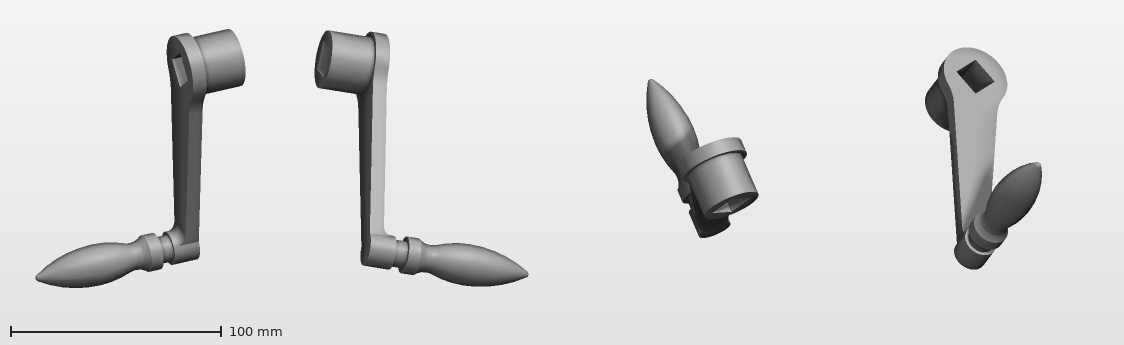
import cadquery as cq
import math

overall_height = 126.5
crank_length = 100.0
head_diameter = 33.0
head_radius = head_diameter / 2
arm_thickness = 7.0
arm_half_width_top = 12.4
arm_half_width_bottom = 6.3
head_blend_radius = 21.5

hub_radius = 13.9
hub_length = 21.0
socket_side = 14.0

boss_radius = 8.1
boss_length = 12.9
boss_blend_radius = 4.0

pin_radius = 6.5
collar_radius = 8.9
collar_start = 19.0
collar_end = 25.0
neck_radius = 6.6
neck_start = 31.1
grip_start = 33.9
grip_start_radius = 7.0
grip_radius = overall_height - crank_length - head_radius
grip_widest = 50.3
handle_length = 81.0
nose_height = 0.9
grip_end = handle_length - nose_height
tip_radius = 1.5


def cylinder(radius, length, z=0):
    """Cylinder running forward (-Y) from the arm's back face."""
    return cq.Workplane("XZ").center(0, z).circle(radius).extrude(length)


def make_bar(length):
    """Tapered bar from the head axis to the handle axis."""
    return (
        cq.Workplane("XZ")
        .moveTo(-arm_half_width_top, 0)
        .lineTo(arm_half_width_top, 0)
        .lineTo(arm_half_width_bottom, -crank_length)
        .lineTo(-arm_half_width_bottom, -crank_length)
        .close()
        .extrude(length)
    )


def make_arm():
    """Tapered bar blended into the round head."""
    arm = make_bar(arm_thickness).union(cylinder(head_radius, arm_thickness))
    head_corners = cq.selectors.BoxSelector(
        (-head_radius, -arm_thickness, -head_radius),
        (head_radius, 0, 0),
    )
    return arm.edges("|Y").edges(head_corners).fillet(head_blend_radius)


def make_boss_blend():
    """Concave ring between arm face and boss, trimmed to the arm's sides."""
    blend_end = arm_thickness + boss_blend_radius
    outer_radius = boss_radius + boss_blend_radius
    middle = boss_blend_radius * (1 - 0.5**0.5)
    ring = (
        cq.Workplane("XY")
        .moveTo(0, -arm_thickness)
        .lineTo(outer_radius, -arm_thickness)
        .threePointArc(
            (boss_radius + middle, -arm_thickness - middle),
            (boss_radius, -blend_end),
        )
        .lineTo(0, -blend_end)
        .close()
        .revolve(360, (0, 0, 0), (0, 1, 0))
        .translate((0, 0, -crank_length))
    )
    return ring.intersect(make_bar(boss_length))


def arc_middle(crest, end):
    """Point midway along an arc that runs parallel to the axis at its crest."""
    rise = end[0] - crest[0]
    run = end[1] - crest[1]
    signed_radius = (rise**2 + run**2) / (2 * rise)
    half_angle = math.atan2(abs(rise), abs(run))
    return (
        crest[0] + signed_radius * (1 - math.cos(half_angle)),
        crest[1] + math.copysign(signed_radius * math.sin(half_angle), run),
    )


def make_handle():
    """Turned handle: pin, collar, concave neck, swelling grip and rounded tip."""
    collar = (collar_radius, -collar_end)
    neck = (neck_radius, -neck_start)
    grip = (grip_start_radius, -grip_start)
    widest = (grip_radius, -grip_widest)
    tip = (tip_radius, -grip_end)
    nose = (0, -handle_length)
    nose_radius = (tip_radius**2 + nose_height**2) / (2 * nose_height)
    nose_half_angle = math.atan2(nose_height, tip_radius)
    nose_middle = (
        nose_radius * math.sin(nose_half_angle),
        -handle_length + nose_radius * (1 - math.cos(nose_half_angle)),
    )
    return (
        cq.Workplane("XY")
        .lineTo(pin_radius, 0)
        .lineTo(pin_radius, -collar_start)
        .lineTo(collar_radius, -collar_start)
        .lineTo(*collar)
        .threePointArc(arc_middle(neck, collar), neck)
        .threePointArc(arc_middle(neck, grip), grip)
        .threePointArc(arc_middle(widest, grip), widest)
        .threePointArc(arc_middle(widest, tip), tip)
        .threePointArc(nose_middle, nose)
        .close()
        .revolve(360, (0, 0, 0), (0, 1, 0))
        .translate((0, 0, -crank_length))
    )


arm = make_arm()
hub = cylinder(hub_radius, -hub_length)
boss = cylinder(boss_radius, boss_length, -crank_length)
socket = (
    cq.Workplane("XZ")
    .transformed(rotate=(0, 0, 45))
    .rect(socket_side, socket_side)
    .extrude(hub_length + arm_thickness, both=True)
)
crank = arm.union(hub).union(boss).union(make_boss_blend()).union(make_handle())
result = crank.cut(socket)